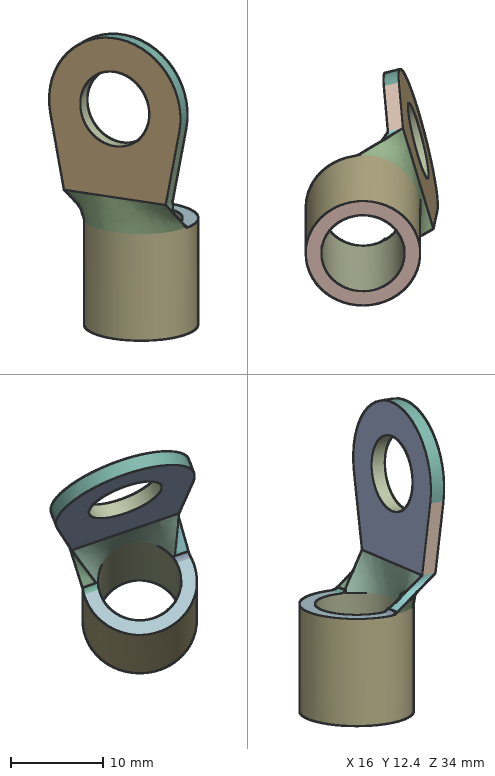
import cadquery as cq
import math

total_height = 33.97
barrel_diameter = 12.4
wall = 1.7
barrel_height = 12.03
palm_start = 16.0
palm_width = 16.0
hole_diameter = 8.4
neck_edge_offset = 1.02
overlap = 0.35
neck_fillet = 1.0

outer_radius = barrel_diameter / 2
inner_radius = outer_radius - wall
palm_radius = palm_width / 2
hole_height = total_height - palm_radius
palm_front = -outer_radius
palm_back = palm_front + wall


def make_tube(height):
    """Ring with the section of the barrel, standing on Z = 0."""
    return cq.Workplane("XY").circle(outer_radius).circle(inner_radius).extrude(height)


def make_barrel():
    """Open tube standing on Z = 0."""
    return make_tube(barrel_height)


def make_palm():
    """Round-ended plate with sides tangent to the round end, and a stud hole."""
    drop = hole_height - palm_start
    corner_distance = math.hypot(outer_radius, drop)
    corner_angle = math.atan2(-drop, outer_radius)
    tangent_angle = corner_angle + math.acos(palm_radius / corner_distance)
    tangent_x = palm_radius * math.cos(tangent_angle)
    tangent_z = hole_height + palm_radius * math.sin(tangent_angle)

    plate = (
        cq.Workplane("XZ", origin=(0, palm_back, 0))
        .moveTo(-outer_radius, palm_start)
        .lineTo(outer_radius, palm_start)
        .lineTo(tangent_x, tangent_z)
        .threePointArc((0, total_height), (-tangent_x, tangent_z))
        .close()
        .extrude(wall)
    )
    hole = (
        cq.Workplane("XZ", origin=(0, palm_back, 0))
        .center(0, hole_height)
        .circle(hole_diameter / 2)
        .extrude(wall)
    )
    return plate.cut(hole)


def make_neck():
    """Ruled blend from the front part of the barrel wall to the flat palm root."""
    outer_x = math.sqrt(outer_radius**2 - neck_edge_offset**2)
    inner_x = math.sqrt(inner_radius**2 - neck_edge_offset**2)
    root_edges = [
        cq.Edge.makeThreePointArc(
            cq.Vector(-outer_x, -neck_edge_offset, barrel_height),
            cq.Vector(0, -outer_radius, barrel_height),
            cq.Vector(outer_x, -neck_edge_offset, barrel_height),
        ),
        cq.Edge.makeLine(
            cq.Vector(outer_x, -neck_edge_offset, barrel_height),
            cq.Vector(inner_x, -neck_edge_offset, barrel_height),
        ),
        cq.Edge.makeThreePointArc(
            cq.Vector(inner_x, -neck_edge_offset, barrel_height),
            cq.Vector(0, -inner_radius, barrel_height),
            cq.Vector(-inner_x, -neck_edge_offset, barrel_height),
        ),
        cq.Edge.makeLine(
            cq.Vector(-inner_x, -neck_edge_offset, barrel_height),
            cq.Vector(-outer_x, -neck_edge_offset, barrel_height),
        ),
    ]
    tip_corners = [
        cq.Vector(-outer_radius, palm_front, palm_start),
        cq.Vector(outer_radius, palm_front, palm_start),
        cq.Vector(outer_radius, palm_back, palm_start),
        cq.Vector(-outer_radius, palm_back, palm_start),
    ]
    tip_edges = [
        cq.Edge.makeLine(start, end)
        for start, end in zip(tip_corners, tip_corners[1:] + tip_corners[:1])
    ]
    faces = [cq.Face.makeRuledSurface(low, high) for low, high in zip(root_edges, tip_edges)]
    for edges in (root_edges, tip_edges):
        faces.append(cq.Face.makeFromWires(cq.Wire.assembleEdges(edges)))
    return cq.Workplane(cq.Solid.makeSolid(cq.Shell.makeShell(faces)).fix())


def make_neck_fillets():
    """Concave rounding in the inside corner between the barrel rim and both neck ends."""
    slope = math.atan2(palm_start - barrel_height, palm_back + neck_edge_offset)
    corner = (-neck_edge_offset, barrel_height)
    setback = neck_fillet / math.tan(slope / 2)
    rim_point = (corner[0] + setback, corner[1])
    neck_point = (corner[0] + setback * math.cos(slope), corner[1] + setback * math.sin(slope))
    arc_center = (rim_point[0], rim_point[1] + neck_fillet)
    middle_angle = math.atan2(corner[1] - arc_center[1], corner[0] - arc_center[0])
    arc_middle = (
        arc_center[0] + neck_fillet * math.cos(middle_angle),
        arc_center[1] + neck_fillet * math.sin(middle_angle),
    )
    filler = (
        cq.Workplane("YZ")
        .moveTo(neck_point[0], barrel_height - overlap)
        .lineTo(rim_point[0], barrel_height - overlap)
        .lineTo(*rim_point)
        .threePointArc(arc_middle, neck_point)
        .close()
        .extrude(outer_radius, both=True)
    )
    return filler.intersect(make_tube(palm_start))


result = make_barrel().union(make_neck()).union(make_palm()).union(make_neck_fillets())